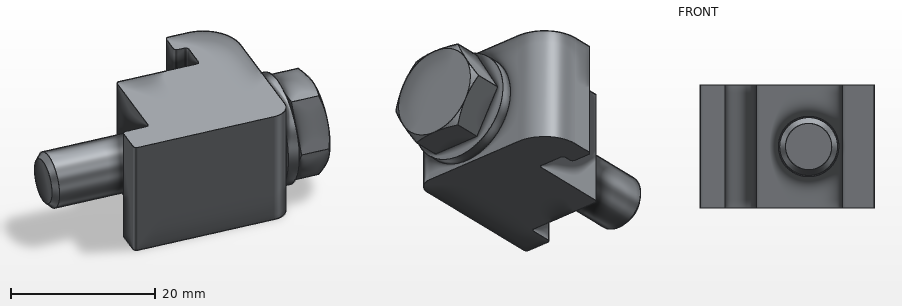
import cadquery as cq
import math


BLOCK_WIDTH = 24.15
BLOCK_HEIGHT = 17.05
BLOCK_RIGHT = 9.1
BLOCK_LEFT = BLOCK_RIGHT - BLOCK_WIDTH
BODY_LEFT = -7.25
BODY_DEPTH = 19.55
HOOK_WIDTH = 3.43
HOOK_DEPTH = 9.0
HOOK_RECESS_DEPTH = 7.05
FOOT_WIDTH = 4.4
FOOT_DEPTH = 23.55
HOOK_BACK_RADIUS = 5.6
RIGHT_BACK_RADIUS = 2.5
EDGE_RADIUS = 0.5
CLEARANCE_DIAMETER = 8.4

WASHER_DIAMETER = 16.0
WASHER_THICKNESS = 1.6

SHANK_DIAMETER = 8.0
SHANK_TIP_CHAMFER = 0.8
BOLT_OVERALL_LENGTH = 40.3
COLLAR_DIAMETER = 11.4
COLLAR_THICKNESS = 0.55
HEAD_HEIGHT = 4.67
HEAD_ACROSS_FLATS = 13.0
HEAD_ACROSS_CORNERS = HEAD_ACROSS_FLATS / math.cos(math.radians(30))
HEAD_CHAMFER_ANGLE = 30.0

COLLAR_BASE = WASHER_THICKNESS
HEAD_BASE = COLLAR_BASE + COLLAR_THICKNESS
HEAD_TOP = HEAD_BASE + HEAD_HEIGHT
SHANK_TIP = HEAD_TOP - BOLT_OVERALL_LENGTH


def cylinder_along_y(diameter, y_start, y_end):
    """Cylinder on the bolt axis between two Y positions."""
    return cq.Workplane(cq.Solid.makeCylinder(
        diameter / 2, y_end - y_start, cq.Vector(0, y_start, 0), cq.Vector(0, 1, 0)))


def make_clamp_block():
    """Prism with a hook on the left, a foot on the right and a through bore for the bolt."""
    hook_inner = BLOCK_LEFT + HOOK_WIDTH
    foot_inner = BLOCK_RIGHT - FOOT_WIDTH
    outline = [
        (BLOCK_LEFT, 0),
        (BLOCK_LEFT, -HOOK_DEPTH),
        (hook_inner, -HOOK_DEPTH),
        (hook_inner, -HOOK_RECESS_DEPTH),
        (BODY_LEFT, -HOOK_RECESS_DEPTH),
        (BODY_LEFT, -BODY_DEPTH),
        (foot_inner, -BODY_DEPTH),
        (foot_inner, -FOOT_DEPTH),
        (BLOCK_RIGHT, -FOOT_DEPTH),
        (BLOCK_RIGHT, 0),
    ]
    block = cq.Workplane("XY").polyline(outline).close().extrude(BLOCK_HEIGHT / 2, both=True)

    front_corners = cq.selectors.BoxSelector(
        (BLOCK_LEFT - 0.4, -FOOT_DEPTH - 0.4, -BLOCK_HEIGHT),
        (BLOCK_RIGHT + 0.4, -HOOK_RECESS_DEPTH / 2, BLOCK_HEIGHT))
    block = block.edges("|Z").edges(front_corners).fillet(EDGE_RADIUS)

    block = block.faces(">Y").edges("|Z and <X").fillet(HOOK_BACK_RADIUS)
    block = block.faces(">Y").edges("|Z and >X").fillet(RIGHT_BACK_RADIUS)

    return block.cut(cylinder_along_y(CLEARANCE_DIAMETER, -FOOT_DEPTH, 0))


def make_washer():
    """Plain flat washer resting on the block, with the same clearance bore."""
    disc = cylinder_along_y(WASHER_DIAMETER, 0, WASHER_THICKNESS)
    return disc.cut(cylinder_along_y(CLEARANCE_DIAMETER, 0, WASHER_THICKNESS))


def make_bolt_head():
    """Hexagon with corners along X, its top corners trimmed by a cone."""
    hexagon = (
        cq.Workplane("XZ", origin=(0, HEAD_BASE, 0))
        .polygon(6, HEAD_ACROSS_CORNERS)
        .extrude(-HEAD_HEIGHT)
    )
    top_radius = HEAD_ACROSS_FLATS / 2
    cone_slope = math.tan(math.radians(HEAD_CHAMFER_ANGLE))
    base_radius = top_radius + HEAD_HEIGHT / cone_slope
    trimming_cone = cq.Solid.makeCone(
        base_radius, top_radius, HEAD_HEIGHT, cq.Vector(0, HEAD_BASE, 0), cq.Vector(0, 1, 0))
    return hexagon.intersect(cq.Workplane(trimming_cone))


def make_bolt():
    """Hexagon head, round collar under it and a shank with a chamfered tip."""
    shank = cylinder_along_y(SHANK_DIAMETER, SHANK_TIP, COLLAR_BASE)
    shank = shank.faces("<Y").chamfer(SHANK_TIP_CHAMFER)
    collar = cylinder_along_y(COLLAR_DIAMETER, COLLAR_BASE, HEAD_BASE)
    return make_bolt_head().union(collar).union(shank)


clamp_block = make_clamp_block()
washer = make_washer()
bolt = make_bolt()

result = cq.Compound.makeCompound([body.solids().val() for body in (clamp_block, washer, bolt)])